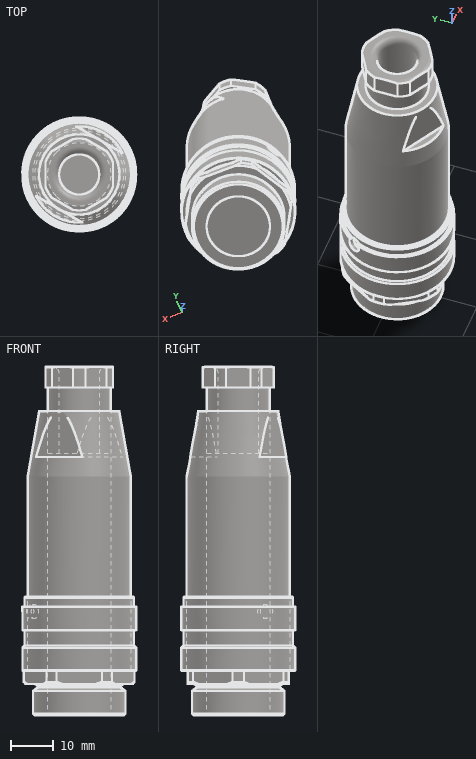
import cadquery as cq
import math

overall_length = 82.6

thread_radius = 11.0
thread_chamfer = 0.5
thread_top = 5.75
relief_radius = 9.8
relief_bottom = 6.65
relief_top = 7.05
relief_flare_radius = 10.5
front_hex_bottom = 7.4
front_hex_top = 10.55
front_hex_corner_radius = 13.15
front_hex_flat_distance = 12.0
front_hex_chamfer = 0.55

band_radius = 13.5
collar_radius = 13.0
band_chamfer = 0.15
lock_ring_top = 16.5
lock_ring_top_chamfer = band_radius - collar_radius
sleeve_band_bottom = 20.1
sleeve_band_top = 25.8
sleeve_top = 28.2
sleeve_top_chamfer = 0.35

window_diameter = 3.4
window_height = 24.6
window_angle = 150

shell_radius = 12.25
cone_bottom = 56.45
cone_top = 72.0
cone_top_radius = 9.5
flat_bottom = 61.2
flat_angles = (60, 240)

nut_neck_radius = 7.5
nut_neck_bottom = 62.0
nut_hex_bottom = 77.6
nut_corner_radius = 8.5
nut_flat_distance = 8.0
nut_face_radius = 7.6
nut_chamfer_height = 0.25
nut_bore_radius = 4.75
nut_mouth_radius = 6.5

core_radius = nut_neck_radius


def cylinder(radius, bottom, top):
    return cq.Workplane("XY").workplane(offset=bottom).circle(radius).extrude(top - bottom)


def revolve_profile(points):
    """Revolve a closed (radius, height) outline about the Z axis."""
    return cq.Workplane("XZ").polyline(points).close().revolve(360, (0, 0, 0), (0, 1, 0))


def hexagon(flat_distance, bottom, top, first_corner_angle):
    corner_diameter = 2 * flat_distance / math.cos(math.pi / 6)
    prism = cq.Workplane("XY").polygon(6, corner_diameter).extrude(top - bottom)
    return prism.rotate((0, 0, 0), (0, 0, 1), first_corner_angle).translate((0, 0, bottom))


def make_front_shell():
    thread = revolve_profile([
        (0, 0),
        (thread_radius - thread_chamfer, 0),
        (thread_radius, thread_chamfer),
        (thread_radius, thread_top),
        (relief_radius, relief_bottom),
        (relief_radius, relief_top),
        (relief_flare_radius, front_hex_bottom),
        (0, front_hex_bottom),
    ])
    hex_blank = cylinder(front_hex_corner_radius, front_hex_bottom, front_hex_top)
    hex_blank = hex_blank.faces("<Z").chamfer(front_hex_chamfer)
    hex_prism = hexagon(front_hex_flat_distance, front_hex_bottom, front_hex_top, 0)
    shell = thread.union(hex_blank.intersect(hex_prism))
    return shell.cut(cylinder(core_radius, 0, front_hex_top))


def make_lock_ring():
    ring = cylinder(band_radius, front_hex_top, lock_ring_top)
    ring = ring.faces("<Z").chamfer(band_chamfer)
    ring = ring.faces(">Z").chamfer(lock_ring_top_chamfer)
    return ring.cut(cylinder(shell_radius, front_hex_top, lock_ring_top))


def make_coupling_sleeve():
    collar = cylinder(collar_radius, lock_ring_top, sleeve_top)
    collar = collar.faces(">Z").chamfer(sleeve_top_chamfer)
    band = cylinder(band_radius, sleeve_band_bottom, sleeve_band_top)
    band = band.faces("<Z or >Z").chamfer(band_chamfer)
    bore = cylinder(shell_radius, lock_ring_top, sleeve_top)
    window = (
        cq.Workplane("YZ")
        .center(0, window_height)
        .circle(window_diameter / 2)
        .extrude(2 * band_radius)
        .rotate((0, 0, 0), (0, 0, 1), window_angle)
    )
    return collar.union(band).cut(bore).cut(window)


def make_back_shell():
    shell = revolve_profile([
        (core_radius, front_hex_top),
        (shell_radius, front_hex_top),
        (shell_radius, cone_bottom),
        (cone_top_radius, cone_top),
        (core_radius, cone_top),
    ])
    flat_depth = shell_radius - cone_top_radius
    for angle in flat_angles:
        flat_cutter = (
            cq.Workplane("XY")
            .box(flat_depth, 2 * shell_radius, cone_top - flat_bottom, centered=(False, True, False))
            .translate((cone_top_radius, 0, flat_bottom))
            .rotate((0, 0, 0), (0, 0, 1), angle)
        )
        shell = shell.cut(flat_cutter)
    return shell


def make_gland_nut():
    head_blank = revolve_profile([
        (0, nut_hex_bottom),
        (nut_corner_radius, nut_hex_bottom),
        (nut_corner_radius, overall_length - nut_chamfer_height),
        (nut_face_radius, overall_length),
        (0, overall_length),
    ])
    head = head_blank.intersect(hexagon(nut_flat_distance, nut_hex_bottom, overall_length, 30))
    nut = head.union(cylinder(nut_neck_radius, nut_neck_bottom, nut_hex_bottom))
    nut = nut.cut(cylinder(nut_bore_radius, nut_neck_bottom, overall_length))
    mouth_edge = cq.selectors.RadiusNthSelector(0)
    return nut.faces(">Z").edges(mouth_edge).fillet(nut_mouth_radius - nut_bore_radius)


def make_insert_core():
    return cylinder(core_radius, 0, nut_neck_bottom)


front_shell = make_front_shell()
lock_ring = make_lock_ring()
coupling_sleeve = make_coupling_sleeve()
back_shell = make_back_shell()
gland_nut = make_gland_nut()
insert_core = make_insert_core()

result = cq.Compound.makeCompound([
    front_shell.val(),
    lock_ring.val(),
    coupling_sleeve.val(),
    back_shell.val(),
    gland_nut.val(),
    insert_core.val(),
])